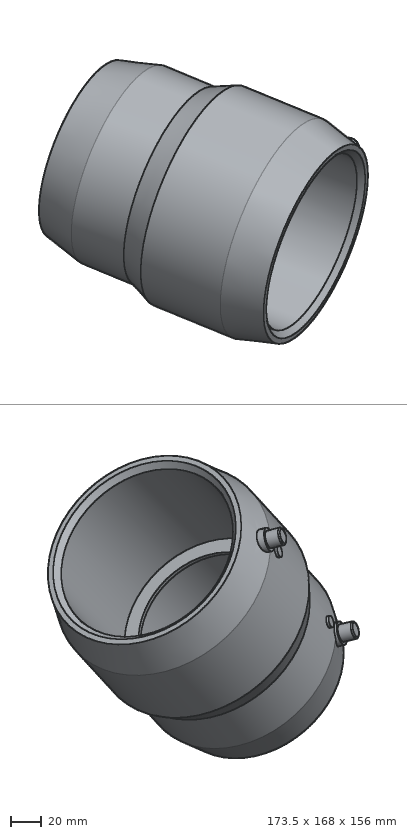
import cadquery as cq


LENGTH = 173.5
END_TAPER_LENGTH = 28.5
END_TAPER_DROP = 7.6
STEP_START_X = 68.2
STEP_END_X = 85.2
SMALL_RADIUS = 70.5
LARGE_RADIUS = 78.0

SMALL_BORE_RADIUS = 55.0
LARGE_BORE_RADIUS = 62.5
STOP_RADIUS = 52.3
STOP_START_X = 69.4
STOP_END_X = 72.4
MOUTH_CHAMFER_WIDTH = 4.0
MOUTH_CHAMFER_DEPTH = 4.0

TERMINAL_INSET = 23.0
COLLAR_RADIUS = 8.0
COLLAR_RISE = 1.75
PIN_RADIUS = 6.0
PIN_HEIGHT = 10.25
PIN_CHAMFER = 1.0

INDICATOR_INSET = 39.3
INDICATOR_RADIUS = 4.0
INDICATOR_RISE = COLLAR_RISE

ROOT_DEPTH = 10.0


def make_body():
    """Revolve the wall section, drawn as (x, radius) points, about the X axis."""
    small_end_radius = SMALL_RADIUS - END_TAPER_DROP
    large_end_radius = LARGE_RADIUS - END_TAPER_DROP
    outer_wall = [
        (0, small_end_radius),
        (END_TAPER_LENGTH, SMALL_RADIUS),
        (STEP_START_X, SMALL_RADIUS),
        (STEP_END_X, LARGE_RADIUS),
        (LENGTH - END_TAPER_LENGTH, LARGE_RADIUS),
        (LENGTH, large_end_radius),
    ]
    inner_wall = [
        (LENGTH, LARGE_BORE_RADIUS + MOUTH_CHAMFER_WIDTH),
        (LENGTH - MOUTH_CHAMFER_DEPTH, LARGE_BORE_RADIUS),
        (STOP_END_X, LARGE_BORE_RADIUS),
        (STOP_END_X, STOP_RADIUS),
        (STOP_START_X, STOP_RADIUS),
        (STOP_START_X, SMALL_BORE_RADIUS),
        (MOUTH_CHAMFER_DEPTH, SMALL_BORE_RADIUS),
        (0, SMALL_BORE_RADIUS + MOUTH_CHAMFER_WIDTH),
    ]
    section = cq.Workplane("XY").polyline(outer_wall + inner_wall).close()
    return section.revolve(360, (0, 0, 0), (1, 0, 0))


def make_post(x, radius, bottom_y, top_y):
    """Round post at the given x, rising along +Y."""
    base = cq.Workplane("XZ", origin=(x, bottom_y, 0))
    return base.circle(radius).extrude(bottom_y - top_y)


def make_terminal(x, socket_radius):
    root_y = socket_radius - ROOT_DEPTH
    collar_top_y = socket_radius + COLLAR_RISE
    collar = make_post(x, COLLAR_RADIUS, root_y, collar_top_y)
    pin = make_post(x, PIN_RADIUS, root_y, collar_top_y + PIN_HEIGHT)
    pin = pin.faces(">Y").chamfer(PIN_CHAMFER)
    return collar.union(pin)


def make_indicator(x, socket_radius):
    root_y = socket_radius - ROOT_DEPTH
    return make_post(x, INDICATOR_RADIUS, root_y, socket_radius + INDICATOR_RISE)


result = make_body()
for end_x, inward, socket_radius in [(0, 1, SMALL_RADIUS), (LENGTH, -1, LARGE_RADIUS)]:
    result = result.union(make_terminal(end_x + inward * TERMINAL_INSET, socket_radius))
    result = result.union(make_indicator(end_x + inward * INDICATOR_INSET, socket_radius))